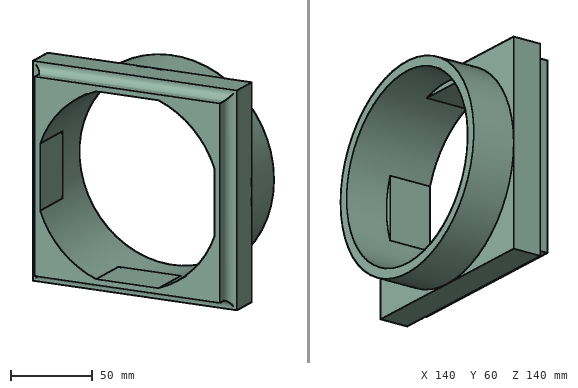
import cadquery as cq

side = 140.0
bore_diameter = 127.0
opening_width = 119.5
lip_side = 127.0
collar_length = 30.0
plate_thickness = 20.0
cove_radius = 5.0
lip_length = 5.0

cove_front = lip_length
plate_front = cove_front + cove_radius
plate_back = plate_front + plate_thickness
total_depth = plate_back + collar_length


def square_block(width, start, end):
    """Square block centred on the Y axis, between two Y stations."""
    return cq.Workplane("XY").box(width, end - start, width).translate((0, (start + end) / 2, 0))


def cylinder(diameter, start, end):
    """Cylinder on the Y axis, between two Y stations."""
    return cq.Workplane("XZ", origin=(0, start, 0)).circle(diameter / 2).extrude(start - end)


def coved_base():
    """Square block whose four front edges are hollowed by a quarter-round cove."""
    cove_edge = lip_side / 2 + cove_radius
    block = square_block(2 * cove_edge, cove_front, plate_front)
    cutter = (
        cq.Workplane("YZ", origin=(-cove_edge, 0, 0))
        .center(cove_front, cove_edge)
        .circle(cove_radius)
        .extrude(2 * cove_edge)
    )
    for quarter in range(4):
        block = block.cut(cutter.rotate((0, 0, 0), (0, 1, 0), 90 * quarter))
    return block


def opening():
    """Round bore, flattened on four sides through the lip and plate."""
    front = cylinder(bore_diameter, 0, plate_back).intersect(
        square_block(opening_width, 0, plate_back)
    )
    return front.union(cylinder(bore_diameter, plate_back, total_depth))


body = (
    square_block(lip_side, 0, cove_front)
    .union(coved_base())
    .union(square_block(side, plate_front, plate_back))
    .union(cylinder(side, plate_back, total_depth))
)
result = body.cut(opening())